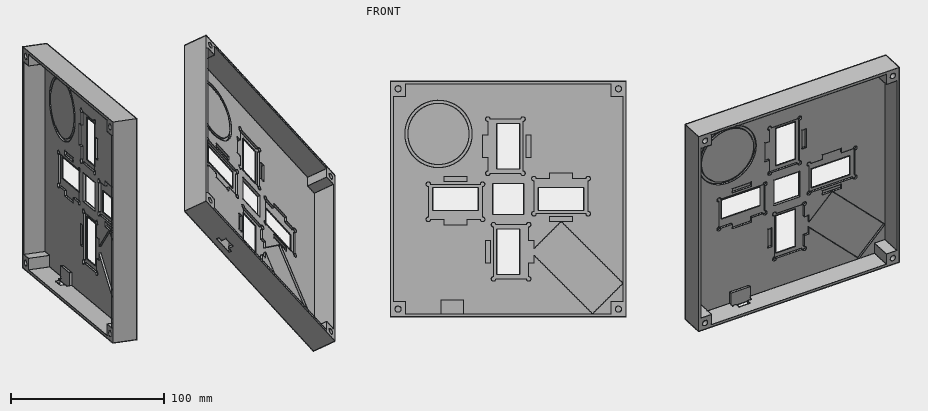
import cadquery as cq
import math

SIDE = 154.0
DEPTH = 17.0
WALL = 2.0

POST = 10.0
SCREW_DIAMETER = 4.0

CENTRE_WINDOW = 20.0
RECESS_DEPTH = 1.5

SEAT_RADIUS = 34.5
WINDOW_WIDTH = 15.0
WINDOW_LENGTH = 29.5
SEAT_WIDTH = 23.0
SEAT_LENGTH = 35.4
SEAT_SHIFT = 1.8
RELIEF_RADIUS = 1.5
TAB_LENGTH = 14.8
TAB_DEPTH = 3.5
SLOT_WIDTH = 3.2
SLOT_GAP = 1.8

RING_X = -45.6
RING_Z = 42.5
RING_OUTER_RADIUS = 22.0
RING_INNER_RADIUS = 20.0

BATTERY_LENGTH = 57.1
BATTERY_WIDTH = 28.2

BOARD_X = -36.7
BOARD_WIDTH = 14.8
REST_HEIGHT = 9.0
REST_THICKNESS = 1.7
BOARD_THICKNESS = 1.7
PORT_WIDTH = 8.5
PORT_HEIGHT = 3.4

HALF = SIDE / 2
INNER_HALF = HALF - WALL
FLOOR_Y = DEPTH - WALL
RECESS_END = FLOOR_Y + RECESS_DEPTH


def block(x_min, x_max, y_min, y_max, z_min, z_max):
    """Box given by its limits along the three axes."""
    size = (x_max - x_min, y_max - y_min, z_max - z_min)
    return cq.Workplane("XY").box(*size, centered=False).translate((x_min, y_min, z_min))


def plate_block(x_centre, z_centre, width, height, y_min, y_max):
    """Box centred on a point of the back plate."""
    return block(
        x_centre - width / 2, x_centre + width / 2,
        y_min, y_max,
        z_centre - height / 2, z_centre + height / 2,
    )


def cylinder(x, z, radius, y_min, y_max):
    """Cylinder along Y."""
    base = cq.Workplane("XZ", origin=(x, y_min, z))
    return base.circle(radius).extrude(y_min - y_max)


def tray():
    """Hollow box with drilled corner posts."""
    body = plate_block(0, 0, SIDE, SIDE, 0, DEPTH)
    body = body.cut(plate_block(0, 0, 2 * INNER_HALF, 2 * INNER_HALF, 0, FLOOR_Y))
    post_offset = HALF - POST / 2
    for x_sign in (-1, 1):
        for z_sign in (-1, 1):
            x = x_sign * post_offset
            z = z_sign * post_offset
            body = body.union(plate_block(x, z, POST, POST, 0, DEPTH))
            body = body.cut(cylinder(x, z, SCREW_DIAMETER / 2, 0, FLOOR_Y))
    return body


def display_seat():
    """Cutter for the upper seat: window, relieved recess, side tab and clip slot."""
    cutter = plate_block(0, SEAT_RADIUS, WINDOW_WIDTH, WINDOW_LENGTH, FLOOR_Y, DEPTH)
    recess = plate_block(-SEAT_SHIFT, SEAT_RADIUS, SEAT_WIDTH, SEAT_LENGTH, FLOOR_Y, RECESS_END)
    cutter = cutter.union(recess)
    left = -SEAT_SHIFT - SEAT_WIDTH / 2
    right = left + SEAT_WIDTH
    for x in (left, right):
        for z_sign in (-1, 1):
            z = SEAT_RADIUS + z_sign * SEAT_LENGTH / 2
            cutter = cutter.union(cylinder(x, z, RELIEF_RADIUS, FLOOR_Y, RECESS_END))
    z_min = SEAT_RADIUS - TAB_LENGTH / 2
    z_max = SEAT_RADIUS + TAB_LENGTH / 2
    slot_start = right + SLOT_GAP
    tab = block(left - TAB_DEPTH, 0, FLOOR_Y, RECESS_END, z_min, z_max)
    slot = block(slot_start, slot_start + SLOT_WIDTH, FLOOR_Y, RECESS_END, z_min, z_max)
    return cutter.union(tab).union(slot)


def ring_groove():
    """Circular groove in the back plate."""
    outer = cylinder(RING_X, RING_Z, RING_OUTER_RADIUS, FLOOR_Y, RECESS_END)
    return outer.cut(cylinder(RING_X, RING_Z, RING_INNER_RADIUS, FLOOR_Y, RECESS_END))


def battery_recess():
    """Diagonal recess whose two outer corners touch the inner walls."""
    far_end = INNER_HALF * math.sqrt(2) - BATTERY_WIDTH / 2
    middle = far_end - BATTERY_LENGTH / 2
    recess = plate_block(middle, 0, BATTERY_LENGTH, BATTERY_WIDTH, FLOOR_Y, RECESS_END)
    return recess.rotate((0, 0, 0), (0, 1, 0), 45)


def board_rest():
    """Raised pad that carries the board against the bottom wall."""
    z_centre = -INNER_HALF + REST_HEIGHT / 2
    return plate_block(BOARD_X, z_centre, BOARD_WIDTH, REST_HEIGHT, FLOOR_Y - REST_THICKNESS, FLOOR_Y)


def board_opening():
    """Board slot and narrower port opening through the bottom wall."""
    back = FLOOR_Y - REST_THICKNESS
    front = back - BOARD_THICKNESS
    z_centre = -HALF + WALL / 2
    slot = plate_block(BOARD_X, z_centre, BOARD_WIDTH, WALL, front, back)
    return slot.union(plate_block(BOARD_X, z_centre, PORT_WIDTH, WALL, front - PORT_HEIGHT, back))


result = tray().union(board_rest())
result = result.cut(board_opening())
result = result.cut(battery_recess())
result = result.cut(ring_groove())
result = result.cut(plate_block(0, 0, CENTRE_WINDOW, CENTRE_WINDOW, FLOOR_Y, DEPTH))
seat = display_seat()
for quarter_turn in range(4):
    result = result.cut(seat.rotate((0, 0, 0), (0, 1, 0), 90 * quarter_turn))